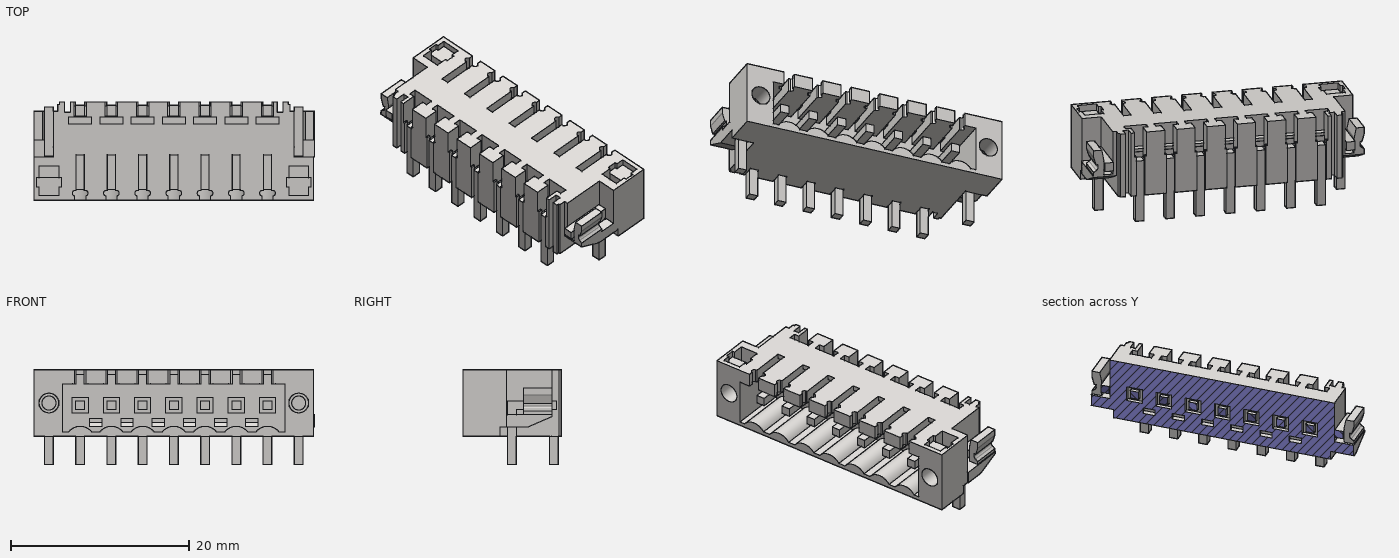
import cadquery as cq


POLES = 7
END_X = 14.0
PITCH = 2 * END_X / (POLES + 1)
HOUSING_LENGTH = 31.35
HOUSING_DEPTH = 11.05
HOUSING_HEIGHT = 7.5
HALF_LENGTH = HOUSING_LENGTH / 2
POLE_XS = [(i - (POLES - 1) / 2) * PITCH for i in range(POLES)]

END_BLOCK_BACK = 4.87
SHOULDER_HALF, SHOULDER_BACK = 13.45, 10.0
CORE_HALF, CORE_BACK = 13.02, 10.75
REAR_HALF = 12.83
END_NOTCH_FRONT, END_NOTCH_TOP = 4.12, 1.05

WIRE = 1.0
PIN_TOP = 4.0
PIN_BOTTOM = -3.18
PIN_BASE = PIN_TOP - WIRE
CONTACT_FRONT, CONTACT_BACK = 1.23, 10.7
ANCHOR_FRONT, ANCHOR_BACK = 4.97, 10.47

CAVITY_HALF, CAVITY_DEPTH = 12.45, 6.3
CAVITY_FLOOR = 0.47
CAVITY_TOP = 5.88
HUMP_HEIGHT, HUMP_HALF = 0.65, 1.32
SEAT_WIDTH, SEAT_HEIGHT, SEAT_DEPTH = 1.82, 1.73, 0.63
KEY_WIDTH, KEY_BOTTOM, KEY_HEIGHT, KEY_DEPTH = 1.38, 1.13, 0.88, 0.47

ROOF_SLOT_HALF, ROOF_SLOT_END, ROOF_SLOT_SKIN = 0.45, 5.1, 0.57
MOUTH_HALF, MOUTH_END = 0.63, 1.13
MOUTH_ROUND, MOUTH_ROUND_X = 0.3, 0.57

REAR_SLOT_FRONT = 9.45
REAR_SLOT_TOP_HALF = 0.7
REAR_LIP_FRONT, REAR_LIP_RISE = 10.57, 0.63
REAR_POCKET_FRONT, REAR_POCKET_BACK, REAR_POCKET_HALF = 8.55, 9.37, 1.3
REAR_POCKET_DEPTH = 2.52
REAR_NOTCH_INNER, REAR_NOTCH_OUTER, REAR_NOTCH_FRONT = 11.6, 12.23, 9.9

SCREW_Z, SCREW_RADIUS, PILOT_RADIUS, PILOT_DEPTH = 3.75, 1.1, 0.8, 0.63
NUT_HALF, NUT_FRONT, NUT_BACK = 1.1, 0.55, 3.85
NUT_WING_HALF, NUT_WING_FRONT, NUT_STEP = 1.38, 1.48, 2.55
NUT_SHELF_DEPTH, NUT_WELL_DEPTH = 0.75, 5.03

WING_FLOOR, WING_FRONT = 2.45, 6.75
WING_LOW_FRONT, WING_HEEL = 7.23, 2.23
GRIP_TOP, GRIP_WIDTH, GRIP_SLOPE_END = 5.4, 0.95, 4.25
GRIP_EDGE, GRIP_UNDERCUT, GRIP_UNDERCUT_X = 4.65, 3.7, 0.28
GROOVE_X, GROOVE_ARC_TOP, GROOVE_ARC_BASE = 0.5, 3.43, 3.05
GROOVE_LIP, GROOVE_LIP_X = 2.83, 0.3
RIGHT_WING_EXTRA = 0.1


def box(x0, x1, y0, y1, z0, z1):
    """Axis-aligned block between two corners."""
    return cq.Workplane("XY").box(x1 - x0, y1 - y0, z1 - z0, centered=False).translate((x0, y0, z0))


def both_sides(left):
    """A left-end feature together with its mirror image at the right end."""
    return left.union(left.mirror("YZ"))


def l_pin(x, front, back, leg_front):
    """Square-wire pin: a level arm from front to back and a leg down from leg_front."""
    arm = box(x - WIRE / 2, x + WIRE / 2, front, back, PIN_BASE, PIN_TOP)
    leg = box(x - WIRE / 2, x + WIRE / 2, leg_front, leg_front + WIRE, PIN_BOTTOM, PIN_TOP)
    return arm.union(leg)


def contact(x):
    return l_pin(x, CONTACT_FRONT, CONTACT_BACK, CONTACT_BACK - WIRE)


def anchor(x):
    return l_pin(x, ANCHOR_FRONT, ANCHOR_BACK, ANCHOR_FRONT)


def shell():
    """Solid housing: end blocks, stepped core and notched block undersides."""
    body = box(-HALF_LENGTH, HALF_LENGTH, 0, END_BLOCK_BACK, 0, HOUSING_HEIGHT)
    steps = [
        (SHOULDER_HALF, SHOULDER_BACK, WING_HEEL),
        (CORE_HALF, CORE_BACK, 0),
        (REAR_HALF, HOUSING_DEPTH, 0),
    ]
    for half, back, bottom in steps:
        body = body.union(box(-half, half, 0, back, bottom, HOUSING_HEIGHT))
    notch = box(-HALF_LENGTH, -CORE_HALF, END_NOTCH_FRONT, END_BLOCK_BACK, 0, END_NOTCH_TOP)
    return body.cut(both_sides(notch))


def cavity():
    """Front opening with a humped floor."""
    opening = box(-CAVITY_HALF, CAVITY_HALF, 0, CAVITY_DEPTH, CAVITY_FLOOR, CAVITY_TOP)
    for x in POLE_XS:
        hump = (
            cq.Workplane("XZ")
            .moveTo(x - HUMP_HALF, CAVITY_FLOOR)
            .threePointArc((x, CAVITY_FLOOR + HUMP_HEIGHT), (x + HUMP_HALF, CAVITY_FLOOR))
            .close()
            .extrude(-CAVITY_DEPTH)
        )
        opening = opening.cut(hump)
    return opening


def contact_seat(x):
    """Rectangular recess in the cavity's back wall around a contact."""
    middle = PIN_TOP - WIRE / 2
    return box(
        x - SEAT_WIDTH / 2, x + SEAT_WIDTH / 2,
        CAVITY_DEPTH, CAVITY_DEPTH + SEAT_DEPTH,
        middle - SEAT_HEIGHT / 2, middle + SEAT_HEIGHT / 2,
    )


def key_recess(x):
    """Recess in the cavity's back wall whose lower half slopes out to the wall."""
    back = CAVITY_DEPTH + KEY_DEPTH
    return (
        cq.Workplane("YZ", origin=(x - KEY_WIDTH / 2, 0, 0))
        .moveTo(CAVITY_DEPTH, KEY_BOTTOM)
        .lineTo(back, KEY_BOTTOM + KEY_HEIGHT / 2)
        .lineTo(back, KEY_BOTTOM + KEY_HEIGHT)
        .lineTo(CAVITY_DEPTH, KEY_BOTTOM + KEY_HEIGHT)
        .close()
        .extrude(KEY_WIDTH)
    )


def roof_slot(x):
    """Slot in the cavity roof with a rounded, wider mouth at the front face."""
    left, right = x - ROOF_SLOT_HALF, x + ROOF_SLOT_HALF
    skin = HOUSING_HEIGHT - ROOF_SLOT_SKIN
    slot = box(left, right, 0, ROOF_SLOT_END, CAVITY_TOP, HOUSING_HEIGHT)
    slot = slot.union(box(left, right, 0, CAVITY_DEPTH, CAVITY_TOP, skin))
    slot = slot.union(box(x - MOUTH_HALF, x + MOUTH_HALF, 0, MOUTH_END, CAVITY_TOP, HOUSING_HEIGHT))
    rounds = (
        cq.Workplane("XY", origin=(x, MOUTH_END - MOUTH_ROUND, CAVITY_TOP))
        .pushPoints([(-MOUTH_ROUND_X, 0), (MOUTH_ROUND_X, 0)])
        .circle(MOUTH_ROUND)
        .extrude(HOUSING_HEIGHT - CAVITY_TOP)
    )
    return slot.union(rounds)


def rear_slot(x):
    """Stepped slot for a contact's leg, opening into a cross pocket on top."""
    top_left, top_right = x - REAR_SLOT_TOP_HALF, x + REAR_SLOT_TOP_HALF
    pocket_floor = HOUSING_HEIGHT - REAR_POCKET_DEPTH
    slot = box(x - WIRE / 2, x + WIRE / 2, REAR_SLOT_FRONT, HOUSING_DEPTH, 0, HOUSING_HEIGHT)
    slot = slot.union(box(top_left, top_right, REAR_SLOT_FRONT, REAR_LIP_FRONT, PIN_TOP, HOUSING_HEIGHT))
    slot = slot.union(
        box(top_left, top_right, REAR_POCKET_BACK, HOUSING_DEPTH, PIN_TOP + REAR_LIP_RISE, HOUSING_HEIGHT)
    )
    pocket = box(
        x - REAR_POCKET_HALF, x + REAR_POCKET_HALF,
        REAR_POCKET_FRONT, REAR_POCKET_BACK, pocket_floor, HOUSING_HEIGHT,
    )
    return slot.union(pocket)


def rear_notch():
    """Full-height notch at the left end of the back face."""
    return box(-REAR_NOTCH_OUTER, -REAR_NOTCH_INNER, REAR_NOTCH_FRONT, HOUSING_DEPTH, 0, HOUSING_HEIGHT)


def screw_mount():
    """Left-end screw hole leading to a nut well with a shallow shelf in front of it."""
    x = -END_X
    shelf = HOUSING_HEIGHT - NUT_SHELF_DEPTH
    well_floor = HOUSING_HEIGHT - NUT_WELL_DEPTH
    well = box(x - NUT_HALF, x + NUT_HALF, NUT_STEP, NUT_BACK, well_floor, HOUSING_HEIGHT)
    well = well.union(box(x - NUT_HALF, x + NUT_HALF, NUT_FRONT, NUT_STEP, shelf, HOUSING_HEIGHT))
    well = well.union(
        box(x - NUT_WING_HALF, x + NUT_WING_HALF, NUT_WING_FRONT, NUT_STEP, shelf, HOUSING_HEIGHT)
    )
    axis = cq.Workplane("XZ").center(x, SCREW_Z)
    hole = axis.circle(SCREW_RADIUS).extrude(-NUT_STEP)
    pilot = axis.circle(PILOT_RADIUS).extrude(-(NUT_BACK + PILOT_DEPTH))
    return well.union(hole).union(pilot)


def wing_base(outer_x):
    """Left wing plate below the anchor, its underside sloping up to the back."""
    return (
        cq.Workplane("YZ", origin=(outer_x, 0, 0))
        .moveTo(END_BLOCK_BACK, WING_FLOOR)
        .lineTo(SHOULDER_BACK, WING_FLOOR)
        .lineTo(SHOULDER_BACK, WING_HEEL)
        .lineTo(WING_LOW_FRONT, END_NOTCH_TOP)
        .lineTo(END_BLOCK_BACK, END_NOTCH_TOP)
        .close()
        .extrude(-CORE_HALF - outer_x)
    )


def wing_grip():
    """Left wing's upright grip, with a rounded groove along its outer side."""
    outer = -HALF_LENGTH
    inner = -END_X - WIRE / 2
    arc_radius = GROOVE_ARC_TOP - GROOVE_ARC_BASE
    return (
        cq.Workplane("XZ", origin=(0, WING_FRONT, 0))
        .moveTo(outer, WING_FLOOR)
        .lineTo(outer, GROOVE_LIP)
        .lineTo(outer + GROOVE_LIP_X, GROOVE_ARC_BASE)
        .radiusArc((outer + GROOVE_X, GROOVE_ARC_TOP), -arc_radius)
        .lineTo(outer + GROOVE_X, GRIP_UNDERCUT)
        .lineTo(outer + GRIP_UNDERCUT_X, GRIP_UNDERCUT)
        .lineTo(outer, GRIP_EDGE)
        .lineTo(outer, GRIP_TOP)
        .lineTo(outer + GRIP_WIDTH, GRIP_TOP)
        .lineTo(inner, GRIP_SLOPE_END)
        .lineTo(inner, WING_FLOOR)
        .close()
        .extrude(WING_FRONT - SHOULDER_BACK)
    )


def housing(pins):
    body = shell()
    body = body.cut(both_sides(rear_notch())).cut(cavity()).cut(both_sides(screw_mount()))
    for x in POLE_XS:
        body = body.cut(contact_seat(x)).cut(roof_slot(x)).cut(rear_slot(x))
    for left, right in zip(POLE_XS, POLE_XS[1:]):
        body = body.cut(key_recess((left + right) / 2))
    body = body.union(both_sides(wing_grip())).union(wing_base(-HALF_LENGTH))
    body = body.union(wing_base(-HALF_LENGTH - RIGHT_WING_EXTRA).mirror("YZ"))
    for pin in pins:
        body = body.cut(pin)
    return body


contacts = [contact(x) for x in POLE_XS]
anchors = [anchor(x) for x in (-END_X, END_X)]
connector_housing = housing(contacts + anchors)

result = cq.Compound.makeCompound(
    [connector_housing.val(), *[pin.val() for pin in contacts], *[pin.val() for pin in anchors]]
)